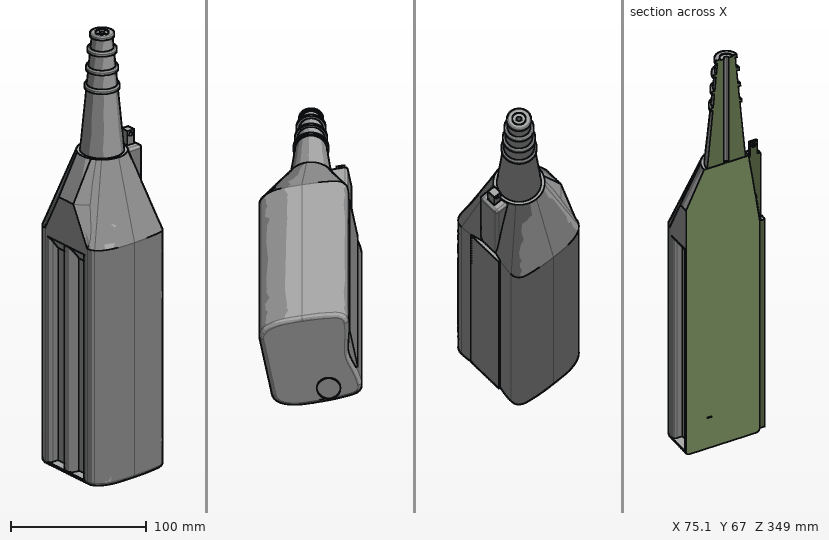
import cadquery as cq
import math

FOOT_HEIGHT = 1.0
FOOT_DIAMETER = 17.5
FOOT_X = -25.5
FOOT_Y = 8.5

BODY_WIDTH = 75.0
HALF_WIDTH = BODY_WIDTH / 2
BOW_X = 36.3
BOW_Y = 21.0
FRONT_Y = -34.2
BACK_Y = 32.8
BACK_CREST_X = 27.2
BACK_VALLEY_Y = 28.3
FRONT_FLAT_X = 24.5
FRONT_CORNER_X = 30.5
FRONT_CORNER_Y = -32.0
SHOULDER_Z = 192.0
BOTTOM_ROUND = 3.0

COLLAR_Z = 254.0
COLLAR_DIAMETER = 38.0
COLLAR_RADIUS = COLLAR_DIAMETER / 2
COLLAR_BACK_ANGLE = 50.0
COLLAR_CORNER_ANGLE = 41.0
COLLAR_FLAT_ANGLE = 65.0
BROW_Z = 222.3
BROW_FLAT_X = 8.5
BROW_CORNER_X = 18.0
BROW_CORNER_Y = -24.8
BROW_ROOT_Y = -3.5

RECESS_HALF_WIDTH = 21.5
RECESS_DEPTH = 7.7
RECESS_EDGE_RADIUS = 2.8
RECESS_BOTTOM_Z = FOOT_HEIGHT + BOTTOM_ROUND
RECESS_TOP_Z = 186.0
RECESS_CEILING_DROP = 10.5
BAR_HALF_WIDTH = 5.5

TIP_Z = 349.0
BOOT_BASE_DIAMETER = 32.8
BOOT_TIP_DIAMETER = 15.0
TIP_FLANGE_DIAMETER = 18.0
RIB_DIAMETERS = (22.0, 24.0, 26.2)
RIB_THICKNESS = 3.0
RIB_ROUND = 1.0
FIRST_RIB_DROP = 15.5
RIB_PITCH = 14.5
BORE_DIAMETER = 4.0
COUNTERBORE_DIAMETER = 10.0
COUNTERBORE_DEPTH = 0.7

CLIP_X = 1.7
PLATE_WIDTH = 30.7
PLATE_BACK_Y = 32.5
BLOCK_WIDTH = 18.5
BLOCK_BACK_Y = 29.3
BLOCK_TOP_Z = 253.5
BLOCK_FILLET = 2.0
LUG_WIDTH = 7.0
LUG_FRONT_Y = 20.0
LUG_BACK_Y = 26.2
LUG_TOP_Z = 265.0
LUG_HOLE_DIAMETER = 3.0
LUG_HOLE_DROP = 3.0


def body_outline(z):
    """Body section: flat front, bowed sides, rounded corners and a hollow rear."""
    corner_run = FRONT_CORNER_X - FRONT_FLAT_X
    corner_rise = FRONT_CORNER_Y - FRONT_Y
    corner_angle = 2 * math.atan2(corner_rise, corner_run)
    corner_radius = corner_run / math.sin(corner_angle)
    arc_x = FRONT_FLAT_X + corner_radius * math.sin(corner_angle / 2)
    arc_y = FRONT_Y + corner_radius * (1 - math.cos(corner_angle / 2))
    slope_x = math.cos(corner_angle)
    slope_y = math.sin(corner_angle)
    return (
        cq.Workplane("XY", origin=(0, 0, z))
        .moveTo(HALF_WIDTH, 0)
        .spline([(BOW_X, BOW_Y), (BACK_CREST_X, BACK_Y)],
                tangents=[(0, 1), (-1, 0)], includeCurrent=True)
        .spline([(0, BACK_VALLEY_Y), (-BACK_CREST_X, BACK_Y)],
                tangents=[(-1, 0), (-1, 0)], includeCurrent=True)
        .spline([(-BOW_X, BOW_Y), (-HALF_WIDTH, 0)],
                tangents=[(-1, 0), (0, -1)], includeCurrent=True)
        .spline([(-BOW_X, -BOW_Y), (-FRONT_CORNER_X, FRONT_CORNER_Y)],
                tangents=[(0, -1), (slope_x, -slope_y)], includeCurrent=True)
        .threePointArc((-arc_x, arc_y), (-FRONT_FLAT_X, FRONT_Y))
        .lineTo(FRONT_FLAT_X, FRONT_Y)
        .threePointArc((arc_x, arc_y), (FRONT_CORNER_X, FRONT_CORNER_Y))
        .spline([(BOW_X, -BOW_Y), (HALF_WIDTH, 0)],
                tangents=[(slope_x, slope_y), (0, 1)], includeCurrent=True)
        .close()
    )


def collar_point(angle):
    """Point on the collar circle, angle in degrees from +X."""
    turn = math.radians(angle)
    return (COLLAR_RADIUS * math.cos(turn), COLLAR_RADIUS * math.sin(turn))


def collar_outline(z):
    """Collar circle split into one arc for each edge of the body outline."""
    stops = [
        0,
        COLLAR_BACK_ANGLE,
        180 - COLLAR_BACK_ANGLE,
        180,
        180 + COLLAR_CORNER_ANGLE,
        180 + COLLAR_FLAT_ANGLE,
        360 - COLLAR_FLAT_ANGLE,
        360 - COLLAR_CORNER_ANGLE,
        360,
    ]
    outline = cq.Workplane("XY", origin=(0, 0, z)).moveTo(*collar_point(0))
    for start, end in zip(stops, stops[1:]):
        outline = outline.threePointArc(collar_point((start + end) / 2), collar_point(end))
    return outline.close()


def ruled_loft(lower, upper):
    """Solid of straight rulings between two closed outlines."""
    return cq.Workplane(cq.Solid.makeLoft([lower.wires().val(), upper.wires().val()], True))


def brow_outline(z, corner, flat):
    """Six-sided section of the brow, given its right-hand corner and flat-end points."""
    points = [
        (-corner[0], BROW_ROOT_Y),
        (-corner[0], corner[1]),
        (-flat[0], flat[1]),
        flat,
        corner,
        (corner[0], BROW_ROOT_Y),
    ]
    return cq.Workplane("XY", origin=(0, 0, z)).polyline(points).close()


def brow_collar_outline():
    """Top section of the brow: same layout as brow_outline, its front following the collar."""
    corner = collar_point(-COLLAR_CORNER_ANGLE)
    flat = collar_point(-COLLAR_FLAT_ANGLE)
    between_angle = (COLLAR_CORNER_ANGLE + COLLAR_FLAT_ANGLE) / 2
    return (
        cq.Workplane("XY", origin=(0, 0, COLLAR_Z))
        .moveTo(-corner[0], BROW_ROOT_Y)
        .lineTo(-corner[0], corner[1])
        .threePointArc(collar_point(180 + between_angle), (-flat[0], flat[1]))
        .threePointArc(collar_point(-90), flat)
        .threePointArc(collar_point(-between_angle), corner)
        .lineTo(corner[0], BROW_ROOT_Y)
        .close()
    )


def make_nose():
    """Nose: a cone from the body outline to the collar, with a faceted brow at the front."""
    cone = ruled_loft(body_outline(SHOULDER_Z), collar_outline(COLLAR_Z))
    brow_foot = brow_outline(SHOULDER_Z, (FRONT_CORNER_X, FRONT_CORNER_Y), (FRONT_FLAT_X, FRONT_Y))
    brow_edge = brow_outline(BROW_Z, (BROW_CORNER_X, BROW_CORNER_Y), (BROW_FLAT_X, FRONT_Y))
    brow_top = brow_collar_outline()
    return cone.union(ruled_loft(brow_foot, brow_edge)).union(ruled_loft(brow_edge, brow_top))


def make_recess():
    """Cutter for the front recess: rounded long edges, sloping ceiling, bar left standing."""
    floor_y = FRONT_Y + RECESS_DEPTH
    wall_x = RECESS_HALF_WIDTH - RECESS_EDGE_RADIUS
    bend = RECESS_EDGE_RADIUS * (1 - math.sqrt(0.5))
    bend_y = FRONT_Y + bend
    pocket = (
        cq.Workplane("XY", origin=(0, 0, RECESS_BOTTOM_Z))
        .moveTo(-RECESS_HALF_WIDTH, FRONT_Y)
        .threePointArc((-wall_x - bend, bend_y), (-wall_x, FRONT_Y + RECESS_EDGE_RADIUS))
        .lineTo(-wall_x, floor_y)
        .lineTo(wall_x, floor_y)
        .lineTo(wall_x, FRONT_Y + RECESS_EDGE_RADIUS)
        .threePointArc((wall_x + bend, bend_y), (RECESS_HALF_WIDTH, FRONT_Y))
        .close()
        .extrude(RECESS_TOP_Z - RECESS_BOTTOM_Z)
    )
    ceiling = (
        cq.Workplane("YZ")
        .polyline([
            (FRONT_Y, RECESS_TOP_Z),
            (floor_y, RECESS_TOP_Z),
            (floor_y, RECESS_TOP_Z - RECESS_CEILING_DROP),
        ])
        .close()
        .extrude(RECESS_HALF_WIDTH, both=True)
    )
    bar = (
        cq.Workplane("XY", origin=(0, 0, RECESS_BOTTOM_Z))
        .moveTo(-BAR_HALF_WIDTH, floor_y)
        .threePointArc((0, FRONT_Y), (BAR_HALF_WIDTH, floor_y))
        .close()
        .extrude(RECESS_TOP_Z - RECESS_BOTTOM_Z)
    )
    return pocket.cut(ceiling).cut(bar)


def make_housing():
    """Housing: hollow-backed body, nose, front recess and round foot pad."""
    body = body_outline(FOOT_HEIGHT).extrude(SHOULDER_Z - FOOT_HEIGHT)
    body = body.faces("<Z").edges().fillet(BOTTOM_ROUND)
    foot = (
        cq.Workplane("XY")
        .center(FOOT_X, FOOT_Y)
        .circle(FOOT_DIAMETER / 2)
        .extrude(FOOT_HEIGHT)
    )
    return body.union(make_nose()).cut(make_recess()).union(foot)


def make_ring(diameter, bottom_z):
    """Ring of the boot with a rounded upper rim."""
    ring = cq.Workplane("XY", origin=(0, 0, bottom_z)).circle(diameter / 2).extrude(RIB_THICKNESS)
    return ring.faces(">Z").edges().fillet(RIB_ROUND)


def make_boot():
    """Tapered boot standing on the collar, with ribs, a tip flange and a stepped bore."""
    height = TIP_Z - COLLAR_Z
    boot = cq.Workplane(cq.Solid.makeCone(
        BOOT_BASE_DIAMETER / 2, BOOT_TIP_DIAMETER / 2, height, cq.Vector(0, 0, COLLAR_Z)
    ))
    rings = [(TIP_FLANGE_DIAMETER, TIP_Z - RIB_THICKNESS)]
    for index, diameter in enumerate(RIB_DIAMETERS):
        rings.append((diameter, TIP_Z - FIRST_RIB_DROP - index * RIB_PITCH))
    for diameter, bottom_z in rings:
        boot = boot.union(make_ring(diameter, bottom_z))
    return (
        boot.faces(">Z").workplane()
        .cboreHole(BORE_DIAMETER, COUNTERBORE_DIAMETER, COUNTERBORE_DEPTH, height)
    )


def box_between(x_center, width, y_range, z_range):
    """Box centred on x_center in X and spanning the given Y and Z ranges."""
    return cq.Workplane("XY").box(
        width, y_range[1] - y_range[0], z_range[1] - z_range[0], centered=(True, False, False)
    ).translate((x_center, y_range[0], z_range[0]))


def make_clip(housing):
    """Rear clip: plate in the rear hollow, block against the nose and a pierced lug."""
    plate = box_between(
        CLIP_X, PLATE_WIDTH, (0, PLATE_BACK_Y), (FOOT_HEIGHT + BOTTOM_ROUND, SHOULDER_Z)
    )
    block = (
        box_between(CLIP_X, BLOCK_WIDTH, (0, BLOCK_BACK_Y), (SHOULDER_Z, BLOCK_TOP_Z))
        .edges("(>Y and |Z) or (>Z and (not <Y))")
        .fillet(BLOCK_FILLET)
    )
    lug = box_between(CLIP_X, LUG_WIDTH, (LUG_FRONT_Y, LUG_BACK_Y), (SHOULDER_Z, LUG_TOP_Z))
    lug_hole = (
        cq.Workplane("YZ", origin=(CLIP_X, 0, 0))
        .center((LUG_FRONT_Y + LUG_BACK_Y) / 2, LUG_TOP_Z - LUG_HOLE_DROP)
        .circle(LUG_HOLE_DIAMETER / 2)
        .extrude(LUG_WIDTH, both=True)
    )
    return plate.union(block).union(lug).cut(lug_hole).cut(housing)


housing = make_housing()
boot = make_boot()
clip = make_clip(housing)

result = cq.Compound.makeCompound([housing.val(), boot.val(), clip.val()])